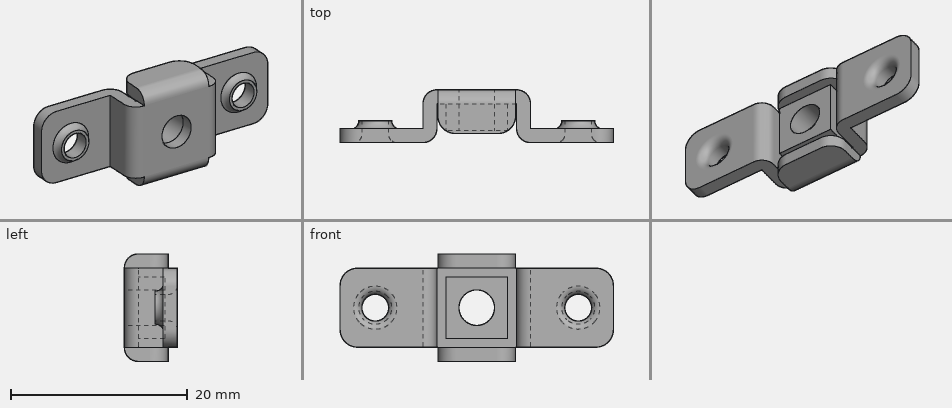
import cadquery as cq
import math

length = 31.0
depth = 6.0
height = 9.0
sheet = 1.6
channel_width = 9.0
foot_corner_radius = 2.0

tab_width = 8.85
tab_depth = 5.0
tab_corner_radius = 2.0

hole_spacing = 23.0
hole_diameter = 3.0
flare_radius = 1.0
collar_height = 0.9
collar_rim_diameter = 3.75
collar_curve_radius = 1.0

nut_width = 7.0
nut_thickness = 3.05
bore_diameter = 4.0

half_length = length / 2
leg_inner = channel_width / 2
leg_outer = leg_inner + sheet
roof_inner = depth - sheet


def make_bore():
    """Cutter for the central hole, on the Y axis through the full depth of the part."""
    return cq.Workplane("XZ").circle(bore_diameter / 2).extrude(-depth)


def make_strip():
    """Hat profile with rounded outer bends and sharp inner bends."""
    bend_mid = sheet * math.sqrt(0.5)
    strip = (
        cq.Workplane("XY", origin=(0, 0, -height / 2))
        .moveTo(-half_length, 0)
        .lineTo(-leg_outer, 0)
        .threePointArc((-leg_outer + bend_mid, sheet - bend_mid), (-leg_inner, sheet))
        .lineTo(-leg_inner, roof_inner)
        .lineTo(leg_inner, roof_inner)
        .lineTo(leg_inner, sheet)
        .threePointArc((leg_outer - bend_mid, sheet - bend_mid), (leg_outer, 0))
        .lineTo(half_length, 0)
        .lineTo(half_length, sheet)
        .lineTo(leg_outer, sheet)
        .lineTo(leg_outer, roof_inner)
        .threePointArc((leg_inner + bend_mid, roof_inner + bend_mid), (leg_inner, depth))
        .lineTo(-leg_inner, depth)
        .threePointArc((-leg_inner - bend_mid, roof_inner + bend_mid), (-leg_outer, roof_inner))
        .lineTo(-leg_outer, sheet)
        .lineTo(-half_length, sheet)
        .close()
        .extrude(height)
    )
    return strip.edges("|Y and (<X or >X)").fillet(foot_corner_radius)


def make_tab(side):
    """Tab at the top (side=1) or bottom (side=-1) edge of the roof."""
    tab = cq.Workplane("XY").box(tab_width, tab_depth, sheet)
    tab = tab.translate((0, depth - tab_depth / 2, side * (height + sheet) / 2))
    tab = tab.edges("|Z and <Y").fillet(tab_corner_radius)
    bend = (
        cq.Workplane("YZ", origin=(-tab_width / 2, roof_inner, side * height / 2))
        .circle(sheet)
        .extrude(tab_width)
    )
    square_corner = (
        cq.Workplane("XY")
        .box(tab_width, sheet, sheet)
        .translate((0, depth - sheet / 2, side * (height + sheet) / 2))
    )
    return tab.cut(square_corner.cut(bend))


def make_collar():
    """Ring drawn out behind a foot, with a concave outer flank."""
    rim_radius = collar_rim_diameter / 2
    curve_center = rim_radius + collar_curve_radius
    collar_top = sheet + collar_height

    def flank_radius(y):
        return curve_center - math.sqrt(collar_curve_radius**2 - (collar_top - y) ** 2)

    return (
        cq.Workplane("XY")
        .moveTo(0, sheet)
        .lineTo(flank_radius(sheet), sheet)
        .threePointArc(
            (flank_radius(sheet + collar_height / 2), sheet + collar_height / 2),
            (rim_radius, collar_top),
        )
        .lineTo(0, collar_top)
        .close()
        .revolve(360, (0, 0, 0), (0, 1, 0))
    )


def make_flared_hole():
    """Cutter for a hole whose mouth rounds outwards at the front of the foot."""
    hole_radius = hole_diameter / 2
    mouth_radius = hole_radius + flare_radius
    arc_mid = flare_radius * math.sqrt(0.5)
    return (
        cq.Workplane("XY")
        .lineTo(mouth_radius, 0)
        .threePointArc((mouth_radius - arc_mid, flare_radius - arc_mid), (hole_radius, flare_radius))
        .lineTo(hole_radius, depth)
        .lineTo(0, depth)
        .close()
        .revolve(360, (0, 0, 0), (0, 1, 0))
    )


def make_bracket():
    bracket = make_strip()
    for side in (-1, 1):
        bracket = bracket.union(make_tab(side))
        hole_position = (side * hole_spacing / 2, 0, 0)
        bracket = bracket.union(make_collar().translate(hole_position))
        bracket = bracket.cut(make_flared_hole().translate(hole_position))
    return bracket.cut(make_bore()).solids()


def make_nut():
    """Square nut seated against the inside of the roof."""
    nut = cq.Workplane("XY").box(nut_width, nut_thickness, nut_width)
    nut = nut.translate((0, roof_inner - nut_thickness / 2, 0))
    return nut.cut(make_bore()).solids()


bracket = make_bracket()
nut = make_nut()
result = cq.Compound.makeCompound([bracket.val(), nut.val()])